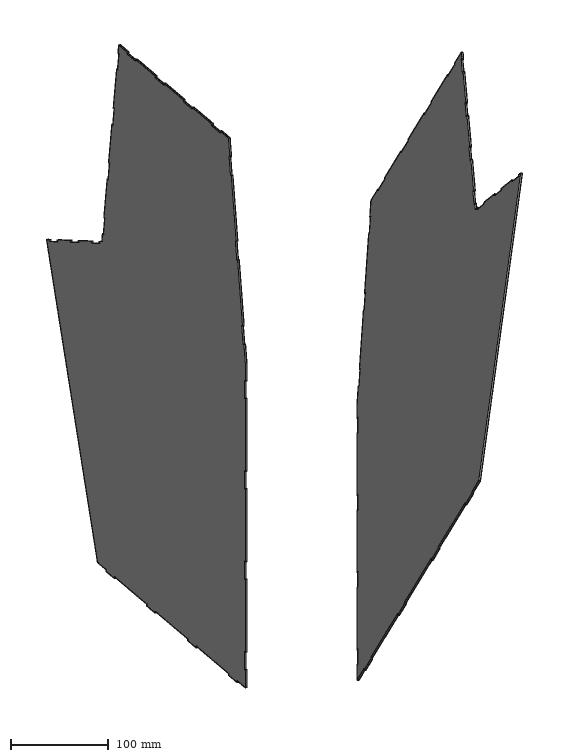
import cadquery as cq
import math

thickness = 2.0
joint_depth = thickness
joint_width = 20.0

total_width = 469.5
total_height = 602.0

base_length = 349.0
left_corner_height = 315.5
shoulder_length = 139.5

top_length = 259.5
taper_inset = 40.0

wide_margin = joint_width
taper_margin = 9.5
shoulder_margin = 6.5

base_z = joint_depth
base_right = (total_width, base_z)
base_left = (total_width - base_length, base_z)
left_corner = (0.0, left_corner_height)

slant_x = base_left[0] - left_corner[0]
slant_z = left_corner[1] - base_left[1]
slant_length = math.hypot(slant_x, slant_z)
waist_left = (
    left_corner[0] + shoulder_length * slant_z / slant_length,
    left_corner[1] + shoulder_length * slant_x / slant_length,
)
waist_right = (total_width, waist_left[1])
top_right = (total_width - taper_inset, total_height)
top_left = (top_right[0] - top_length, total_height)


def jointed_edge(start, end, count, margin, offset):
    """Points from start up to, but not including, end, with evenly spaced square joints.

    The outline runs counter-clockwise: a positive offset makes tabs, a negative one notches.
    """
    length = math.dist(start, end)
    along = ((end[0] - start[0]) / length, (end[1] - start[1]) / length)
    outward = (along[1], -along[0])
    pitch = (length - 2 * margin - joint_width) / (count - 1)

    def place(distance, height):
        return (
            start[0] + along[0] * distance + outward[0] * height,
            start[1] + along[1] * distance + outward[1] * height,
        )

    points = [start]
    for index in range(count):
        near = margin + index * pitch
        far = near + joint_width
        points += [place(near, 0), place(near, offset), place(far, offset), place(far, 0)]
    return points


outline = (
    jointed_edge(base_left, base_right, 4, wide_margin, joint_depth)
    + jointed_edge(base_right, waist_right, 4, wide_margin, -joint_depth)
    + jointed_edge(waist_right, top_right, 3, wide_margin, -joint_depth)
    + jointed_edge(top_right, top_left, 4, wide_margin, -joint_depth)
    + jointed_edge(top_left, waist_left, 4, taper_margin, -joint_depth)
    + jointed_edge(waist_left, left_corner, 3, shoulder_margin, -joint_depth)
    + [left_corner]
)

result = cq.Workplane("XZ").polyline(outline).close().extrude(-thickness)